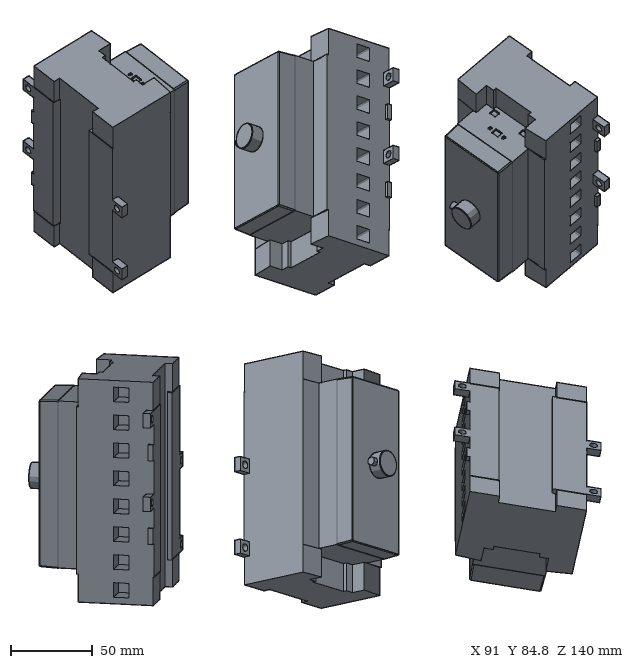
import cadquery as cq


length = 140.0
middle_length = 104.7
width = 72.8
base_step = 0.4
shoulder_top = 48.6
shoulder_drop = 1.1

recess_width = 40.3
recess_floor = 39.2
recess_step_width = 28.5
recess_step_floor = 36.8

channel_floor = 5.0
channel_half_width = 17.8
undercut_base_x = -18.3
undercut_floor_x = -17.2
hook_tip_x = 15.1
hook_tip_height = 2.8
hook_root_height = 3.6

cover_width = 45.4
cover_top = 63.0
lid_length = 105.4
lid_top = 75.2
lid_taper = 2.2
lid_corner = 0.8
lid_rim = 0.5

opening_count = 8
opening_pitch = 17.5
opening_size_y = 9.5
opening_size_z = 9.1
opening_y = 20.5
opening_depth = 14.0
opening_corner = 0.7

tab_left_x = -45.8
tab_right_x = 45.2
tab_height = 4.6
tab_size_z = 9.0
tab_pitch = middle_length / 2
tab_hole_diameter = 4.6
tab_hole_inset = 4.6
rib_depth = 2.0
rib_height = 3.1
rib_size_z = 10.0
rib_z = 26.2

port_depth = 1.4
display_port = (5.2, 4.0)
lamp_port = (1.8, 2.2)
lamp_x = 5.6
upper_port_y = 52.0
latch_port = (4.6, 4.0)
latch_x = 12.0
latch_offset = -0.4

knob_x = -0.3
knob_diameter = 16.2
knob_bottom = 76.0
knob_top = 84.8
knob_edge = 0.4
neck_diameter = 12.0
pointer_diameter = 5.0
pointer_tip_x = 10.9
pointer_y = 80.4

half_width = width / 2
half_middle = middle_length / 2


def box(x_min, x_max, y_min, y_max, z_min, z_max):
    """Axis-aligned block between the given limits."""
    size = (x_max - x_min, y_max - y_min, z_max - z_min)
    return cq.Workplane("XY").box(*size, centered=False).translate((x_min, y_min, z_min))


def extrude_outline(points, depth):
    """Closed XY outline extruded to both sides of Z = 0."""
    return cq.Workplane("XY").polyline(points).close().extrude(depth / 2, both=True)


def make_end_sections():
    """Full-length profile with the stepped recess and the rail channel."""
    half_recess = recess_width / 2
    half_step = recess_step_width / 2
    shoulder_edge = shoulder_top - shoulder_drop
    return extrude_outline(
        [
            (-half_width, base_step),
            (-channel_half_width, base_step),
            (-channel_half_width, channel_floor),
            (channel_half_width, channel_floor),
            (channel_half_width, base_step),
            (half_width, base_step),
            (half_width, shoulder_edge),
            (half_recess, shoulder_top),
            (half_recess, recess_floor),
            (half_step, recess_floor),
            (half_step, recess_step_floor),
            (-half_step, recess_step_floor),
            (-half_step, recess_floor),
            (-half_recess, recess_floor),
            (-half_recess, shoulder_top),
            (-half_width, shoulder_edge),
        ],
        length,
    )


def make_middle_section():
    """Middle profile with the rail undercut, the rail hook and the cover."""
    half_cover = cover_width / 2
    return extrude_outline(
        [
            (-half_width, 0),
            (undercut_base_x, 0),
            (undercut_floor_x, channel_floor),
            (channel_half_width, channel_floor),
            (channel_half_width, hook_root_height),
            (hook_tip_x, hook_tip_height),
            (hook_tip_x, 0),
            (half_width, 0),
            (half_width, shoulder_top - shoulder_drop),
            (half_cover, shoulder_top),
            (half_cover, cover_top),
            (-half_cover, cover_top),
            (-half_cover, shoulder_top),
            (-half_width, shoulder_top),
        ],
        middle_length,
    )


def make_lid():
    """Tapered lid on the cover with bevelled corners and rim."""
    return (
        cq.Workplane("XZ", origin=(0, cover_top, 0))
        .rect(cover_width, lid_length)
        .extrude(cover_top - lid_top, taper=lid_taper)
        .edges("not(#Y)")
        .chamfer(lid_corner)
        .faces(">Y")
        .chamfer(lid_rim)
    )


def make_tab(x_min, x_max, hole_x, z_top):
    """Mounting tab with a screw hole along Y."""
    z_bottom = z_top - tab_size_z
    hole = (
        cq.Workplane("XZ", origin=(hole_x, 0, (z_top + z_bottom) / 2))
        .circle(tab_hole_diameter / 2)
        .extrude(-tab_height)
    )
    return box(x_min, x_max, 0, tab_height, z_bottom, z_top).cut(hole)


def add_tabs(body):
    """Two tabs on each side; the right pair is the left pair turned upside down."""
    for row in range(2):
        left_top = half_middle - row * tab_pitch
        right_top = tab_size_z - row * tab_pitch
        body = body.union(make_tab(tab_left_x, -half_width, tab_left_x + tab_hole_inset, left_top))
        body = body.union(make_tab(half_width, tab_right_x, tab_right_x - tab_hole_inset, right_top))
    return body


def add_ribs(body):
    """Two low ribs at the foot of the -X side."""
    for z in (-rib_z, rib_z):
        rib = box(
            -half_width - rib_depth, -half_width, 0, rib_height, z - rib_size_z / 2, z + rib_size_z / 2
        )
        body = body.union(rib)
    return body


def cut_openings(body):
    """Row of rectangular wire openings along the -X side."""
    openings = (
        cq.Workplane("YZ", origin=(-half_width, opening_y, 0))
        .rarray(1.4, opening_pitch, 1, opening_count)
        .rect(opening_size_y, opening_size_z)
        .extrude(opening_depth)
        .faces("<Y")
        .edges("|X")
        .fillet(opening_corner)
    )
    return body.cut(openings)


def cut_port(body, x, y, size):
    """Shallow rectangular port in the +Z face of the cover."""
    port = cq.Workplane("XY", origin=(x, y, half_middle)).rect(*size).extrude(-port_depth)
    return body.cut(port)


def make_housing():
    body = make_end_sections()
    middle_feet = box(-half_width, half_width, 0, channel_floor, -half_middle, half_middle)
    body = body.cut(middle_feet).union(make_middle_section()).union(make_lid())
    body = cut_openings(add_ribs(add_tabs(body)))
    body = cut_port(body, 0, upper_port_y, display_port)
    for side in (-1, 1):
        body = cut_port(body, side * lamp_x, upper_port_y, lamp_port)
        body = cut_port(body, latch_offset + side * latch_x, recess_floor + latch_port[1] / 2, latch_port)
    return body


def make_knob():
    """Round knob on a short neck, with a pointer peg towards +X."""
    head = (
        cq.Workplane("XZ", origin=(knob_x, knob_bottom, 0))
        .circle(knob_diameter / 2)
        .extrude(knob_bottom - knob_top)
        .edges()
        .chamfer(knob_edge)
    )
    neck = (
        cq.Workplane("XZ", origin=(knob_x, lid_top, 0))
        .circle(neck_diameter / 2)
        .extrude(lid_top - knob_bottom)
    )
    pointer = (
        cq.Workplane("YZ", origin=(knob_x, pointer_y, 0))
        .circle(pointer_diameter / 2)
        .extrude(pointer_tip_x - knob_x)
    )
    return head.union(neck).union(pointer)


housing = make_housing()
knob = make_knob()

result = cq.Compound.makeCompound([housing.val(), knob.val()])